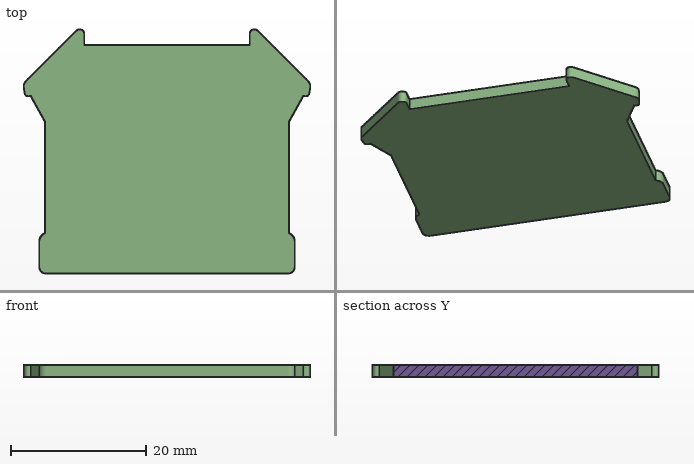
import cadquery as cq
import math

width = 42.4
height = 36.11
thickness = 1.8

foot_half_width = 18.9
foot_corner_radius = 1.0
foot_side_top = 4.7
shoulder_radius = 1.4

body_half_width = 18.05
body_top = 22.45

slot_half_width = 12.2
slot_floor = 33.8

tip_radius = 0.7
elbow_radius = 1.0
lip_radius = 0.55
lip_inner_x = 20.15
lip_inner_y = 26.24
lip_lean = math.radians(9)

shoulder_center_x = foot_half_width - shoulder_radius
shoulder_top = foot_side_top + math.sqrt(shoulder_radius**2 - (body_half_width - shoulder_center_x) ** 2)

flank_sum = slot_half_width + height + math.sqrt(2) * tip_radius
tip_y = flank_sum - slot_half_width

elbow_center_x = width / 2 - elbow_radius

lean_sin = math.sin(lip_lean)
lean_cos = math.cos(lip_lean)
elbow_offset_x = elbow_radius * (1 + math.sqrt(2) * lean_sin) / (lean_cos + lean_sin)
elbow_x = elbow_center_x + elbow_offset_x
elbow_y = flank_sum - elbow_x

lip_side_x = elbow_x - (elbow_y - lip_inner_y) * math.tan(lip_lean)
lip_bottom_length = (lip_side_x - lip_inner_x) * lean_cos
lip_outer_x = lip_inner_x + lip_bottom_length * lean_cos
lip_outer_y = lip_inner_y - lip_bottom_length * lean_sin


def half_plate():
    """Right half of the plate, with sharp corners except for the shoulder arc."""
    return (
        cq.Workplane("XY")
        .lineTo(foot_half_width, 0)
        .lineTo(foot_half_width, foot_side_top)
        .radiusArc((body_half_width, shoulder_top), -shoulder_radius)
        .lineTo(body_half_width, body_top)
        .lineTo(lip_inner_x, lip_inner_y)
        .lineTo(lip_outer_x, lip_outer_y)
        .lineTo(elbow_x, elbow_y)
        .lineTo(slot_half_width, tip_y)
        .lineTo(slot_half_width, slot_floor)
        .lineTo(0, slot_floor)
        .close()
        .extrude(thickness)
    )


def round_corner(plate, x, y, radius):
    """Round the upright edge of the plate at (x, y)."""
    corner = cq.selectors.NearestToPointSelector((x, y, thickness / 2))
    return plate.edges("|Z").edges(corner).fillet(radius)


rounded_corners = [
    (foot_half_width, 0, foot_corner_radius),
    (lip_outer_x, lip_outer_y, lip_radius),
    (elbow_x, elbow_y, elbow_radius),
    (slot_half_width, tip_y, tip_radius),
]

right_half = half_plate()
for corner_x, corner_y, corner_radius in rounded_corners:
    right_half = round_corner(right_half, corner_x, corner_y, corner_radius)

result = right_half.union(right_half.mirror("YZ")).clean()